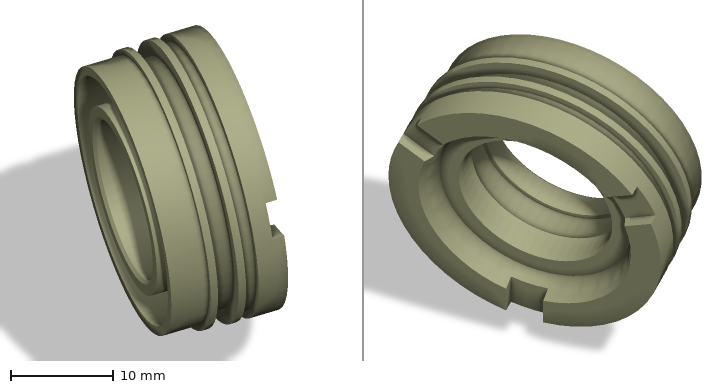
import cadquery as cq

length = 11.9
rim_radius = 14.5

front_radius = 13.75
front_flange_radius = 14.35
wide_groove_radius = 12.85
narrow_groove_radius = 13.7
front_flange_start = 3.9
front_flange_end = 4.65
middle_flange_start = 6.73
middle_flange_end = 7.5
rear_rim_start = 8.82

recess_outer_radius = 12.75
recess_step_radius = 11.83
recess_inner_radius = 9.65
recess_step_depth = 3.8
recess_depth = 5.8

bore_radius = 8.18
entry_chamfer = 0.32
bore_groove_radius = 8.67
bore_groove_start = 2.75
bore_groove_end = 5.97
mouth_start = 9.22
mouth_start_radius = 10.15
mouth_end_radius = 11.3

slot_count = 3
slot_width = 3.95
slot_depth = 1.22
first_slot_angle = 30.0


def make_body():
    """Revolve the half section (radius, Y) about the Y axis."""
    section = [
        (bore_radius + entry_chamfer, 0),
        (recess_inner_radius, 0),
        (recess_inner_radius, recess_depth),
        (recess_step_radius, recess_depth),
        (recess_step_radius, recess_step_depth),
        (recess_outer_radius, recess_step_depth),
        (recess_outer_radius, 0),
        (front_radius, 0),
        (front_radius, front_flange_start),
        (front_flange_radius, front_flange_start),
        (front_flange_radius, front_flange_end),
        (wide_groove_radius, front_flange_end),
        (wide_groove_radius, middle_flange_start),
        (rim_radius, middle_flange_start),
        (rim_radius, middle_flange_end),
        (narrow_groove_radius, middle_flange_end),
        (narrow_groove_radius, rear_rim_start),
        (rim_radius, rear_rim_start),
        (rim_radius, length),
        (mouth_end_radius, length),
        (mouth_start_radius, mouth_start),
        (bore_radius, mouth_start),
        (bore_radius, bore_groove_end),
        (bore_groove_radius, bore_groove_end),
        (bore_groove_radius, bore_groove_start),
        (bore_radius, bore_groove_start),
        (bore_radius, entry_chamfer),
    ]
    return cq.Workplane("XY").polyline(section).close().revolve(360, (0, 0, 0), (0, 1, 0))


def make_slot(angle):
    """Straight radial slot cutter, turned upward from +X by the angle."""
    cutter = cq.Workplane("XY").box(rim_radius * 2, slot_depth, slot_width, centered=(False, False, True))
    cutter = cutter.translate((0, length - slot_depth, 0))
    return cutter.rotate((0, 0, 0), (0, 1, 0), -angle)


result = make_body()
for index in range(slot_count):
    result = result.cut(make_slot(first_slot_angle + index * 360 / slot_count))